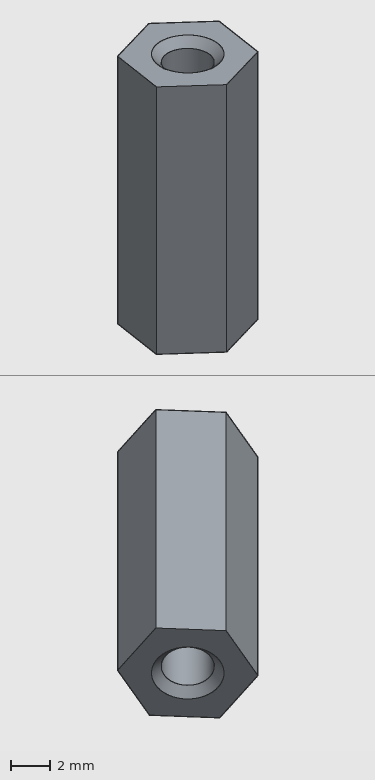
import cadquery as cq
import math

length = 16.0
across_flats = 6.2
bore_diameter = 2.7
countersink_diameter = 3.7

across_corners = across_flats / math.cos(math.radians(30))
countersink_depth = (countersink_diameter - bore_diameter) / 2

body = cq.Workplane("XY").polygon(6, across_corners).extrude(length)

body = body.faces(">Z").workplane().hole(bore_diameter)

result = body.faces("<Z or >Z").edges("%CIRCLE").chamfer(countersink_depth)